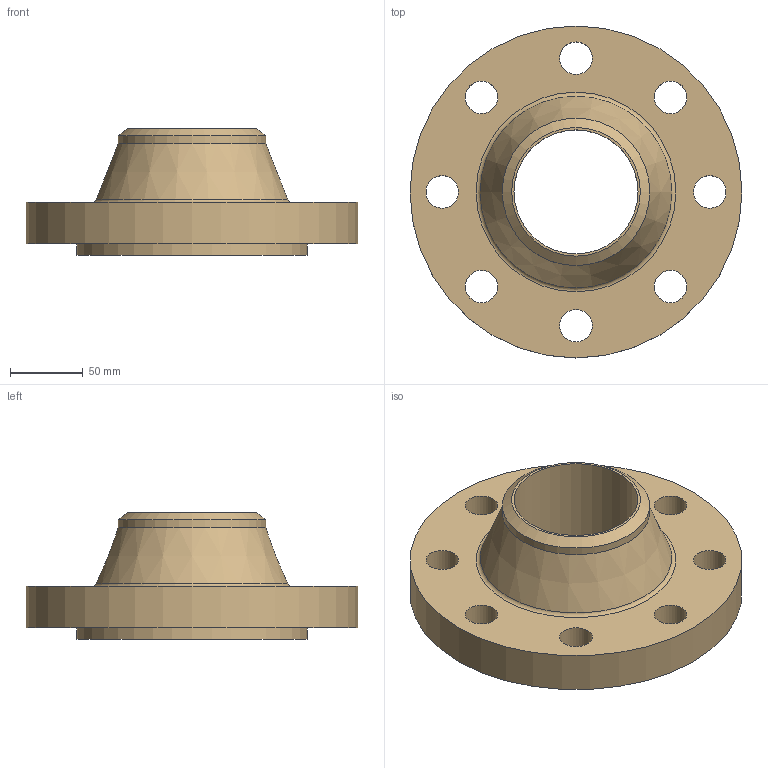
import cadquery as cq
import math


FLANGE_DIAMETER = 228.6
FLANGE_THICKNESS = 28.6
FACE_DIAMETER = 158.8
FACE_HEIGHT = 7.95

TOTAL_HEIGHT = 87.45
HUB_BASE_DIAMETER = 133.4
HUB_FILLET_RADIUS = 3.0
PIPE_DIAMETER = 101.6
BORE_DIAMETER = 85.4
WELD_LAND = 1.6
BEVEL_ANGLE = 37.5
NECK_LENGTH = 5.5

BOLT_COUNT = 8
BOLT_CIRCLE_DIAMETER = 184.2
BOLT_HOLE_DIAMETER = 22.4

flange_radius = FLANGE_DIAMETER / 2
face_radius = FACE_DIAMETER / 2
hub_base_radius = HUB_BASE_DIAMETER / 2
pipe_radius = PIPE_DIAMETER / 2
bore_radius = BORE_DIAMETER / 2
land_radius = bore_radius + WELD_LAND
flange_top = FACE_HEIGHT + FLANGE_THICKNESS
bevel_height = (pipe_radius - land_radius) * math.tan(math.radians(BEVEL_ANGLE))
bevel_bottom = TOTAL_HEIGHT - bevel_height
cone_top = bevel_bottom - NECK_LENGTH


def make_body():
    """Revolve the half section of the flange, with a fillet where the cone meets the plate."""
    cone_slope = math.atan2(cone_top - flange_top, hub_base_radius - pipe_radius)
    tangent_length = HUB_FILLET_RADIUS * math.tan(cone_slope / 2)
    fillet_foot = (hub_base_radius + tangent_length, flange_top)
    fillet_head = (
        hub_base_radius - tangent_length * math.cos(cone_slope),
        flange_top + tangent_length * math.sin(cone_slope),
    )
    fillet_middle = (
        fillet_foot[0] - HUB_FILLET_RADIUS * math.sin(cone_slope / 2),
        flange_top + HUB_FILLET_RADIUS * (1 - math.cos(cone_slope / 2)),
    )

    section = (
        cq.Workplane("XZ")
        .moveTo(bore_radius, 0)
        .lineTo(face_radius, 0)
        .lineTo(face_radius, FACE_HEIGHT)
        .lineTo(flange_radius, FACE_HEIGHT)
        .lineTo(flange_radius, flange_top)
        .lineTo(*fillet_foot)
        .threePointArc(fillet_middle, fillet_head)
        .lineTo(pipe_radius, cone_top)
        .lineTo(pipe_radius, bevel_bottom)
        .lineTo(land_radius, TOTAL_HEIGHT)
        .lineTo(bore_radius, TOTAL_HEIGHT)
        .close()
    )
    return section.revolve(360, (0, 0, 0), (0, 1, 0))


def make_bolt_holes():
    """Cylinders through the plate, evenly spaced on the bolt circle, the first on +X."""
    return (
        cq.Workplane("XY")
        .workplane(offset=FACE_HEIGHT)
        .polarArray(BOLT_CIRCLE_DIAMETER / 2, 0, 360, BOLT_COUNT)
        .circle(BOLT_HOLE_DIAMETER / 2)
        .extrude(FLANGE_THICKNESS)
    )


result = make_body().cut(make_bolt_holes())